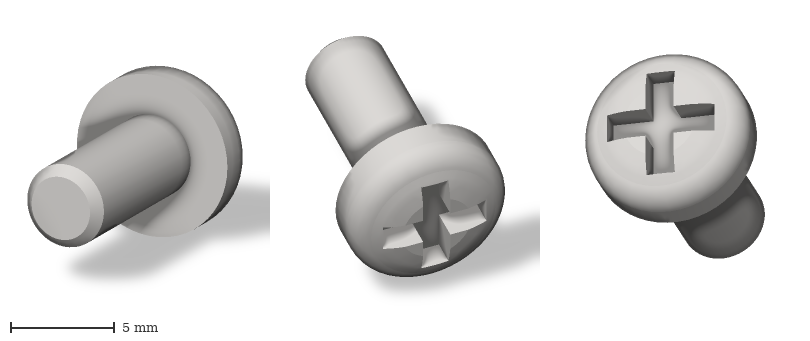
import cadquery as cq
import math

total_length = 12.45
head_diameter = 8.18
head_height = 2.93
shank_diameter = 4.17
tip_chamfer = 0.5

band_height = 1.3
crown_radius = 1.78
dome_edge_radius = 3.22
dome_edge_depth = 0.46
dome_mid_radius = 2.53
dome_mid_depth = 0.17

recess_span = 5.35
recess_width = 1.41
recess_depth = 1.5

head_radius = head_diameter / 2
shank_radius = shank_diameter / 2
tip_y = -total_length / 2
crown_y = total_length / 2
bearing_y = crown_y - head_height
band_top_y = bearing_y + band_height
dome_edge_y = crown_y - dome_edge_depth

shoulder_rise = dome_edge_y - band_top_y
shoulder_inset = head_radius - dome_edge_radius
shoulder_radius = (shoulder_rise**2 + shoulder_inset**2) / (2 * shoulder_inset)
shoulder_angle = math.asin(shoulder_rise / shoulder_radius)
shoulder_mid = (
    head_radius - shoulder_radius * (1 - math.cos(shoulder_angle / 2)),
    band_top_y + shoulder_radius * math.sin(shoulder_angle / 2),
)


def make_body():
    """Revolve the half profile of shank and domed head about the Y axis."""
    return (
        cq.Workplane("XY")
        .moveTo(0, tip_y)
        .lineTo(shank_radius - tip_chamfer, tip_y)
        .lineTo(shank_radius, tip_y + tip_chamfer)
        .lineTo(shank_radius, bearing_y)
        .lineTo(head_radius, bearing_y)
        .lineTo(head_radius, band_top_y)
        .threePointArc(shoulder_mid, (dome_edge_radius, dome_edge_y))
        .threePointArc((dome_mid_radius, crown_y - dome_mid_depth), (crown_radius, crown_y))
        .lineTo(0, crown_y)
        .close()
        .revolve(360, (0, 0, 0), (0, 1, 0))
    )


def make_recess():
    """Two crossed slots sunk into the crown, along X and Z."""
    recess_center = (0, crown_y - recess_depth / 2, 0)
    slot_x = cq.Workplane("XY").box(recess_span, recess_depth, recess_width)
    slot_z = cq.Workplane("XY").box(recess_width, recess_depth, recess_span)
    return slot_x.union(slot_z).translate(recess_center)


result = make_body().cut(make_recess())